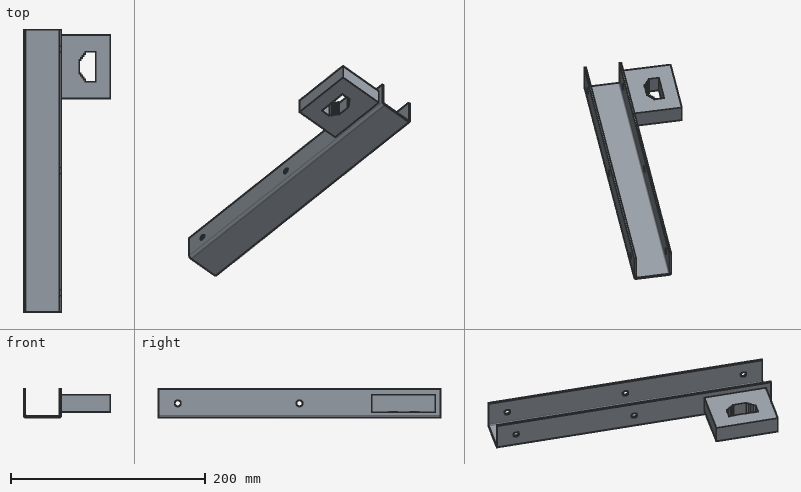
import cadquery as cq

channel_length = 290.0
channel_width = 39.0
channel_height = 30.0
wall = 2.0
inner_bend = 1.0
outer_bend = inner_bend + wall

hole_diameter = 6.0
hole_end_distance = 20.0
hole_count = 3
hole_spacing = (channel_length - 2 * hole_end_distance) / (hole_count - 1)
mid_height = channel_height / 2

overall_width = 89.3
block_length_x = overall_width - channel_width
block_length_y = 65.2
block_height = 18.0
block_end_distance = 5.5
block_center_x = channel_width + block_length_x / 2
block_center_y = channel_length - block_end_distance - block_length_y / 2

window_margin = 15.5
window_length = 30.7
window_right_x = overall_width - window_margin
window_straight = 10.5
tooth_count = 4
tooth_step_x = 1.55
tooth_step_y = 2.0
first_tip_offset = 12.8
tooth_undercut = 0.5


def make_channel():
    outside = (
        cq.Workplane("XY")
        .box(channel_width, channel_length, channel_height, centered=False)
        .edges("|Y and <Z")
        .fillet(outer_bend)
    )
    inside = (
        cq.Workplane("XY")
        .box(channel_width - 2 * wall, channel_length, channel_height, centered=False)
        .edges("|Y and <Z")
        .fillet(inner_bend)
        .translate((wall, 0, wall))
    )
    channel = outside.cut(inside)
    for step in range(hole_count):
        hole_y = hole_end_distance + step * hole_spacing
        drill = (
            cq.Workplane("YZ")
            .center(hole_y, mid_height)
            .circle(hole_diameter / 2)
            .extrude(channel_width)
        )
        channel = channel.cut(drill)
    return channel


def make_block():
    block = cq.Workplane("XY").box(block_length_x, block_length_y, block_height)
    block = block.translate((block_center_x, block_center_y, mid_height))

    half_outline = [(0, window_length / 2), (window_straight, window_length / 2)]
    for tooth in range(tooth_count):
        tip_x = window_straight + tooth * tooth_step_x
        tip_y = first_tip_offset - tooth * tooth_step_y
        half_outline.append((tip_x, tip_y))
        half_outline.append((tip_x + tooth_step_x, tip_y + tooth_undercut))

    upper = [(window_right_x - x, block_center_y + y) for x, y in half_outline]
    lower = [(window_right_x - x, block_center_y - y) for x, y in reversed(half_outline)]
    window = cq.Workplane("XY").polyline(upper + lower).close().extrude(channel_height)
    return block.cut(window)


channel = make_channel()
block = make_block()
result = cq.Compound.makeCompound([channel.val(), block.val()])